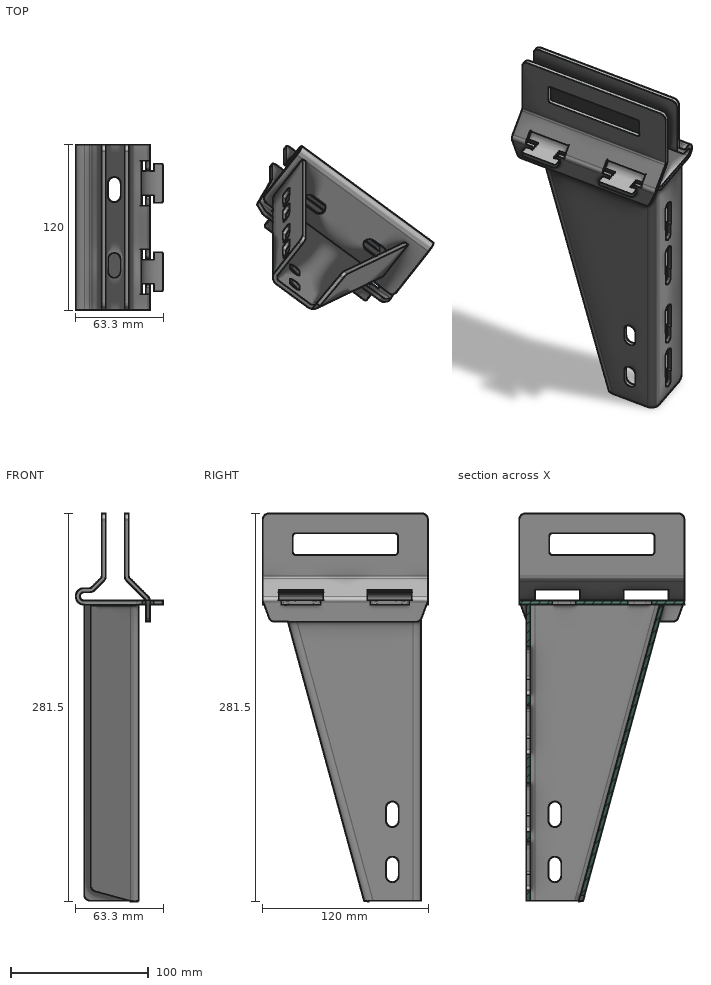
import cadquery as cq
import math


TOP_Z = 281.5
PLATE_LENGTH = 120.0
PLATE_T = 3.0
BEND_R = 4.2
PLATE_CORNER_R = 4.8
JAW_BEND_Z = 234.5
HOOK_JAW_X = 14.4
JAW_SPACING = 16.5
SHORTEST_STRAIGHT = 0.003

SHELF_Z = 216.7
HOOK_R = 4.5
SHELF_END_X = 42.2
SHELF_CORNER_R = 4.0
OVERALL_WIDTH = 63.3
TAB_HEAD_X = 50.7
TAB_HEAD_WIDTH = 28.5
TAB_NECK_WIDTH = 17.7
TAB_HEAD_R = 1.5
TAB_Y = 32.0

TONGUE_X = 46.5
TONGUE_END_Z = 203.0
TONGUE_TAPER_ANGLE = 20.0
TONGUE_CORNER_R = 4.0
SLOT_TOP_Z = 226.0
SLOT_WIDTH = 32.5
SLOT_NECK_WIDTH = 18.5
SLOT_NECK_R = 2.0

WINDOW_LENGTH = 76.0
WINDOW_TOP_Z = 266.8
WINDOW_HEIGHT = 15.5
WINDOW_R = 2.0
SHELF_HOLE_X = 22.0
SHELF_HOLE_SPACING = 55.0
SHELF_HOLE_LENGTH = 18.0
SHELF_HOLE_WIDTH = 9.0

CHANNEL_WIDTH = 39.7
CHANNEL_T = 3.0
CHANNEL_BEND_R = 6.2
BACK_Y = 55.0
TOP_DEPTH = 100.0
BOTTOM_DEPTH = 41.5
WEB_BOTTOM_Z = 0.5
SLOPED_FLANGE_INSET = 4.8
FLANGE_CORNER_R = 4.8

WEB_SLOT_Y = 34.0
WEB_SLOT_TOP_Z = 63.3
WEB_SLOT_SPACING = 40.0
WEB_SLOT_LENGTH = 18.3
WEB_SLOT_WIDTH = 9.0

KEY_SLOT_X = 19.7
KEY_SLOT_LENGTH = 35.2
KEY_SLOT_WIDE = 8.5
KEY_SLOT_NARROW = 7.0
KEY_SLOT_WIDE_LENGTH = 25.5
KEY_SLOT_CENTRES_Z = (26.0, 68.5, 124.7, 167.5)

TAB_END_X = OVERALL_WIDTH - HOOK_R - PLATE_T / 2
SHELF_TOP_Z = SHELF_Z + PLATE_T / 2
SHELF_BOTTOM_Z = SHELF_Z - PLATE_T / 2
TONGUE_JAW_X = HOOK_JAW_X + JAW_SPACING
SLOPE = math.atan2(TOP_DEPTH - BOTTOM_DEPTH, SHELF_BOTTOM_Z - WEB_BOTTOM_Z)


def bent_sheet(bends):
    """Sweep the sheet section along a centre line of (x, z, bend radius) points in the XZ plane."""
    points = [cq.Vector(x, z) for x, z, radius in bends]
    path = cq.Workplane("XZ").moveTo(points[0].x, points[0].y)
    position = points[0]
    for before, corner, after, bend in zip(points, points[1:], points[2:], bends[1:]):
        way_in = (corner - before).normalized()
        way_out = (after - corner).normalized()
        tangent_length = bend[2] * math.tan(way_in.getAngle(way_out) / 2)
        arc_start = corner - way_in * tangent_length
        arc_end = corner + way_out * tangent_length
        if (arc_start - position).Length > SHORTEST_STRAIGHT:
            path = path.lineTo(arc_start.x, arc_start.y)
        path = path.tangentArcPoint((arc_end.x, arc_end.y), relative=False)
        position = arc_end
    path = path.lineTo(points[-1].x, points[-1].y)
    section = cq.Workplane("XY", origin=(points[0].x, 0, points[0].y)).rect(PLATE_T, PLATE_LENGTH)
    return section.sweep(path)


def finish_jaw(plate, jaw_x):
    """Round the top corners of an upright jaw and cut its window."""
    plate = plate.faces(">Z").edges("|X").fillet(PLATE_CORNER_R)
    window = (
        cq.Workplane("XY")
        .box(2 * PLATE_T, WINDOW_LENGTH, WINDOW_HEIGHT)
        .edges("|X")
        .fillet(WINDOW_R)
        .translate((jaw_x, 0, WINDOW_TOP_Z - WINDOW_HEIGHT / 2))
    )
    return plate.cut(window)


def tab(y):
    """T-shaped tab at the edge of the shelf; its neck starts at the shelf edge."""
    neck_length = TAB_HEAD_X - SHELF_END_X
    neck = cq.Workplane("XY").box(neck_length, TAB_NECK_WIDTH, PLATE_T)
    neck = neck.translate((SHELF_END_X + neck_length / 2, y, SHELF_Z))
    head_length = TAB_END_X - TAB_HEAD_X
    head = cq.Workplane("XY").box(head_length, TAB_HEAD_WIDTH, PLATE_T)
    head = head.edges("|Z and >X").fillet(TAB_HEAD_R)
    head = head.translate((TAB_HEAD_X + head_length / 2, y, SHELF_Z))
    return neck.union(head)


def make_hook_plate():
    """Upright jaw, 45 degree leg, U-bend and flat shelf with two tabs."""
    lip_z = SHELF_Z + 2 * HOOK_R
    lip_bend_x = HOOK_JAW_X - (JAW_BEND_Z - lip_z)
    plate = bent_sheet([
        (HOOK_JAW_X, TOP_Z, 0),
        (HOOK_JAW_X, JAW_BEND_Z, BEND_R),
        (lip_bend_x, lip_z, BEND_R),
        (-HOOK_R, lip_z, HOOK_R),
        (-HOOK_R, SHELF_Z, HOOK_R),
        (SHELF_END_X, SHELF_Z, 0),
    ])
    plate = plate.faces(">X").edges("|Z").fillet(SHELF_CORNER_R)
    plate = finish_jaw(plate, HOOK_JAW_X)
    for y in (-TAB_Y, TAB_Y):
        plate = plate.union(tab(y))
    holes = (
        cq.Workplane("XY", origin=(SHELF_HOLE_X, 0, SHELF_BOTTOM_Z))
        .pushPoints([(0, -SHELF_HOLE_SPACING / 2), (0, SHELF_HOLE_SPACING / 2)])
        .slot2D(SHELF_HOLE_LENGTH, SHELF_HOLE_WIDTH, 90)
        .extrude(PLATE_T)
    )
    return plate.cut(holes)


def tongue_slot(y):
    """Wide opening above the shelf that narrows, over rounded shoulders, to hold a tab neck."""
    half_mouth = SLOT_WIDTH / 2
    half_neck = SLOT_NECK_WIDTH / 2
    r = SLOT_NECK_R
    mouth_x = TONGUE_X - (SLOT_TOP_Z - SHELF_BOTTOM_Z)
    depth = TONGUE_X + PLATE_T - mouth_x
    return (
        cq.Workplane("YZ", origin=(mouth_x, y, 0))
        .moveTo(-half_mouth, SLOT_TOP_Z)
        .lineTo(half_mouth, SLOT_TOP_Z)
        .lineTo(half_mouth, SHELF_TOP_Z)
        .lineTo(half_neck + r, SHELF_TOP_Z)
        .tangentArcPoint((half_neck, SHELF_TOP_Z - r), relative=False)
        .lineTo(half_neck, SHELF_BOTTOM_Z)
        .lineTo(-half_neck, SHELF_BOTTOM_Z)
        .lineTo(-half_neck, SHELF_TOP_Z - r)
        .tangentArcPoint((-half_neck - r, SHELF_TOP_Z), relative=False)
        .lineTo(-half_mouth, SHELF_TOP_Z)
        .close()
        .extrude(depth)
    )


def tongue_taper(side):
    """Wedge removed from one end of the tongue; side is +1 or -1 along Y."""
    end_y = side * PLATE_LENGTH / 2
    rise = SHELF_TOP_Z - TONGUE_END_Z
    inset = rise * math.tan(math.radians(TONGUE_TAPER_ANGLE))
    return (
        cq.Workplane("YZ", origin=(TONGUE_X - PLATE_T, 0, 0))
        .polyline([(end_y, SHELF_TOP_Z), (end_y, TONGUE_END_Z), (end_y - side * inset, TONGUE_END_Z)])
        .close()
        .extrude(2 * PLATE_T)
    )


def make_tongue_plate():
    """Upright jaw, 45 degree leg and tapered tongue, slotted for the tabs."""
    tongue_bend_z = JAW_BEND_Z - (TONGUE_X - TONGUE_JAW_X)
    plate = bent_sheet([
        (TONGUE_JAW_X, TOP_Z, 0),
        (TONGUE_JAW_X, JAW_BEND_Z, BEND_R),
        (TONGUE_X, tongue_bend_z, BEND_R),
        (TONGUE_X, TONGUE_END_Z, 0),
    ])
    plate = finish_jaw(plate, TONGUE_JAW_X)
    for side in (-1, 1):
        plate = plate.cut(tongue_taper(side))
    plate = plate.faces("<Z").edges("|X").fillet(TONGUE_CORNER_R)
    for y in (-TAB_Y, TAB_Y):
        plate = plate.cut(tongue_slot(y))
    return plate


def tapered_prism(outline, width, bend_r):
    """Extrude a (y, z) outline along X and round its straight and sloped edges at X = width."""
    prism = cq.Workplane("YZ").polyline(outline).close().extrude(width)
    middle_z = (SHELF_BOTTOM_Z + WEB_BOTTOM_Z) / 2
    far_face = prism.faces(">X")
    back_edge = far_face.edges(">Y")
    sloped_edge = far_face.edges(cq.NearestToPointSelector((width, slope_y(middle_z), middle_z)))
    return prism.newObject(back_edge.vals() + sloped_edge.vals()).fillet(bend_r)


def slope_y(z):
    """Y of the outer face of the sloped flange at height z."""
    return BACK_Y - BOTTOM_DEPTH - (z - WEB_BOTTOM_Z) * math.tan(SLOPE)


def channel_blank():
    """Outside of the channel; the sloped side is cut square at the top and sags at the bottom bend."""
    slant_t = CHANNEL_T / math.cos(SLOPE)
    inner_top_y = slope_y(SHELF_BOTTOM_Z) + slant_t
    outer_top_z = SHELF_BOTTOM_Z - CHANNEL_T * math.sin(SLOPE)
    outline = [
        (BACK_Y, WEB_BOTTOM_Z),
        (BACK_Y, SHELF_BOTTOM_Z),
        (inner_top_y, SHELF_BOTTOM_Z),
        (slope_y(outer_top_z), outer_top_z),
        (slope_y(WEB_BOTTOM_Z), WEB_BOTTOM_Z),
        (slope_y(0) + slant_t, 0),
        (slope_y(WEB_BOTTOM_Z) + slant_t, WEB_BOTTOM_Z),
    ]
    return tapered_prism(outline, CHANNEL_WIDTH, CHANNEL_BEND_R)


def channel_hollow():
    """Space between the flanges, running past both ends of the channel."""
    bottom_z = -CHANNEL_T
    top_z = SHELF_BOTTOM_Z + CHANNEL_T
    back_y = BACK_Y - CHANNEL_T
    slant_t = CHANNEL_T / math.cos(SLOPE)
    outline = [
        (back_y, bottom_z),
        (back_y, top_z),
        (slope_y(top_z) + slant_t, top_z),
        (slope_y(bottom_z) + slant_t, bottom_z),
    ]
    return tapered_prism(outline, CHANNEL_WIDTH - CHANNEL_T, CHANNEL_BEND_R - CHANNEL_T)


def sloped_flange_trim():
    """Waste around the sloped flange: its set-back free edge and rising, round-cornered lower edge."""
    bend_x = CHANNEL_WIDTH - CHANNEL_BEND_R
    corner_z = WEB_BOTTOM_Z + (bend_x - SLOPED_FLANGE_INSET) * math.tan(SLOPE)
    front_y = slope_y(SHELF_BOTTOM_Z)
    depth = BACK_Y - CHANNEL_T - front_y
    flange = (
        cq.Workplane("XZ", origin=(0, front_y, 0))
        .polyline([
            (bend_x, WEB_BOTTOM_Z),
            (bend_x, SHELF_BOTTOM_Z),
            (SLOPED_FLANGE_INSET, SHELF_BOTTOM_Z),
            (SLOPED_FLANGE_INSET, corner_z),
        ])
        .close()
        .extrude(-depth)
        .edges(cq.NearestToPointSelector((SLOPED_FLANGE_INSET, front_y + depth / 2, corner_z)))
        .fillet(FLANGE_CORNER_R)
    )
    waste = cq.Workplane("XY").box(bend_x, depth, SHELF_BOTTOM_Z, centered=False)
    return waste.translate((0, front_y, 0)).cut(flange)


def web_slots():
    """Two upright slots through the web."""
    return (
        cq.Workplane("YZ", origin=(CHANNEL_WIDTH - CHANNEL_T, WEB_SLOT_Y, WEB_SLOT_TOP_Z))
        .pushPoints([(0, 0), (0, -WEB_SLOT_SPACING)])
        .slot2D(WEB_SLOT_LENGTH, WEB_SLOT_WIDTH, 90)
        .extrude(CHANNEL_T)
    )


def key_slot(centre_z):
    """Slot through the straight flange whose upper part is wider than its lower part."""
    plane = cq.Workplane("XZ", origin=(KEY_SLOT_X, BACK_Y, centre_z))
    narrow = plane.slot2D(KEY_SLOT_LENGTH, KEY_SLOT_NARROW, 90).extrude(CHANNEL_T)
    wide_offset = (KEY_SLOT_LENGTH - KEY_SLOT_WIDE_LENGTH) / 2
    wide = plane.center(0, wide_offset).slot2D(KEY_SLOT_WIDE_LENGTH, KEY_SLOT_WIDE, 90).extrude(CHANNEL_T)
    return narrow.union(wide)


def make_channel():
    """Tapered channel: straight flange, web and sloped flange of one bent sheet."""
    channel = channel_blank().cut(channel_hollow())
    channel = channel.cut(sloped_flange_trim())
    free_corner = cq.NearestToPointSelector((0, BACK_Y - CHANNEL_T / 2, WEB_BOTTOM_Z))
    channel = channel.edges(free_corner).fillet(FLANGE_CORNER_R)
    channel = channel.cut(web_slots())
    for centre_z in KEY_SLOT_CENTRES_Z:
        channel = channel.cut(key_slot(centre_z))
    return channel


hook_plate = make_hook_plate()
tongue_plate = make_tongue_plate()
channel = make_channel()

result = cq.Compound.makeCompound([hook_plate.val(), tongue_plate.val(), channel.val()])